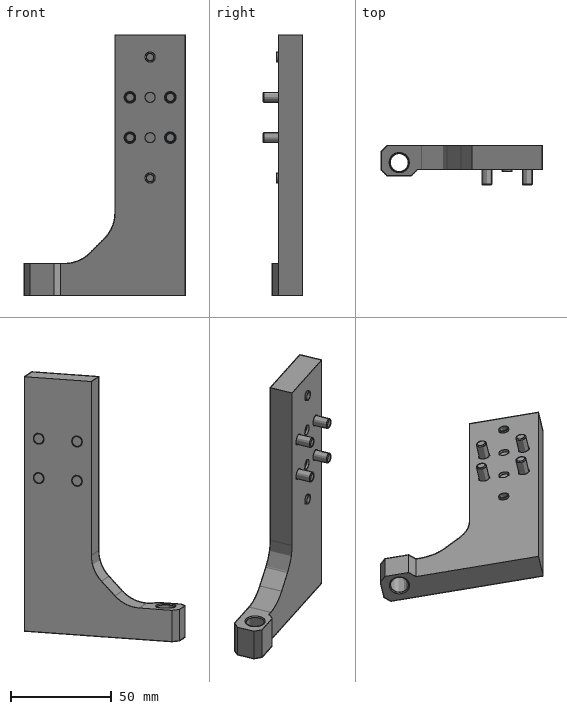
import cadquery as cq

LENGTH = 80.0
HEIGHT = 129.35
PLATE_THICKNESS = 12.0
ARM_WIDTH = 35.0
FOOT_HEIGHT = 16.0
CORNER_BEVEL = 17.55
CORNER_RADIUS = 18.0
SELECTION_MARGIN = 1.0
ARM_LEFT = LENGTH - ARM_WIDTH
ARM_CENTER = LENGTH - ARM_WIDTH / 2

BLOCK_DEPTH = 15.1
BLOCK_LENGTH = 18.0
BLOCK_CHAMFER = 3.0
BLOCK_STEP = BLOCK_DEPTH - PLATE_THICKNESS
BLOCK_FRONT_LENGTH = BLOCK_LENGTH - BLOCK_STEP
BORE_X = 9.0
BORE_FROM_BACK = 8.5
BORE_DIAMETER = 8.92
BORE_MOUTH_DIAMETER = 10.0

PITCH = 20.0
TOP_ROW_FROM_TOP = 11.0
ROW_COUNT = 4
ROW_HEIGHTS = [HEIGHT - TOP_ROW_FROM_TOP - row * PITCH for row in range(ROW_COUNT)]
SLEEVE_POINTS = [(ARM_CENTER, ROW_HEIGHTS[0]), (ARM_CENTER, ROW_HEIGHTS[-1])]
RECESS_POINTS = [(ARM_CENTER, z) for z in ROW_HEIGHTS]
SCREW_POINTS = [(ARM_CENTER + side * PITCH / 2, z) for z in ROW_HEIGHTS[1:-1] for side in (-1, 1)]

SLEEVE_DIAMETER = 5.0
SLEEVE_BORE = 3.6
SLEEVE_PROTRUSION = 0.9
RECESS_DEPTH = 1.35

SCREW_DIAMETER = 5.0
SCREW_HOLE_DIAMETER = 5.5
SCREW_PROTRUSION = 7.6
SCREW_CHAMFER = 0.5


def front_plane(y):
    """Sketch plane at depth y, with X to the right, Z up and the normal toward -Y."""
    return cq.Workplane("XZ", origin=(0, y, 0))


def make_plate():
    """L-shaped plate whose inner corner is bevelled and rounded at both ends of the bevel."""
    plate = (
        front_plane(PLATE_THICKNESS)
        .moveTo(0, 0)
        .lineTo(LENGTH, 0)
        .lineTo(LENGTH, HEIGHT)
        .lineTo(ARM_LEFT, HEIGHT)
        .lineTo(ARM_LEFT, FOOT_HEIGHT + CORNER_BEVEL)
        .lineTo(ARM_LEFT - CORNER_BEVEL, FOOT_HEIGHT)
        .lineTo(0, FOOT_HEIGHT)
        .close()
        .extrude(PLATE_THICKNESS)
    )
    bevel_ends = cq.selectors.BoxSelector(
        (ARM_LEFT - CORNER_BEVEL - SELECTION_MARGIN, 0, FOOT_HEIGHT - SELECTION_MARGIN),
        (ARM_LEFT + SELECTION_MARGIN, PLATE_THICKNESS, FOOT_HEIGHT + CORNER_BEVEL + SELECTION_MARGIN),
    )
    return plate.edges("|Y").edges(bevel_ends).fillet(CORNER_RADIUS)


def make_block():
    """Clamp block, sloping back to the plate on its inner side; its outer corners are cut later."""
    return (
        cq.Workplane("XY")
        .moveTo(0, PLATE_THICKNESS)
        .lineTo(0, -BLOCK_STEP)
        .lineTo(BLOCK_FRONT_LENGTH, -BLOCK_STEP)
        .lineTo(BLOCK_LENGTH, 0)
        .lineTo(BLOCK_LENGTH, PLATE_THICKNESS)
        .close()
        .extrude(FOOT_HEIGHT)
    )


def make_bore():
    """Vertical cutter through the block, flared at both ends to chamfer the mouths."""
    bore_radius = BORE_DIAMETER / 2
    mouth_radius = BORE_MOUTH_DIAMETER / 2
    flare_height = mouth_radius - bore_radius
    return (
        cq.Workplane("XZ", origin=(BORE_X, PLATE_THICKNESS - BORE_FROM_BACK, 0))
        .moveTo(0, 0)
        .lineTo(mouth_radius, 0)
        .lineTo(bore_radius, flare_height)
        .lineTo(bore_radius, FOOT_HEIGHT - flare_height)
        .lineTo(mouth_radius, FOOT_HEIGHT)
        .lineTo(0, FOOT_HEIGHT)
        .close()
        .revolve(360, (0, 0, 0), (0, 1, 0))
    )


def make_round_cutters(points, diameter, depth):
    """Cylinders from the front face of the arm into the plate."""
    return front_plane(depth).pushPoints(points).circle(diameter / 2).extrude(depth)


def make_bracket():
    """Plate and block as one solid, with the bore, sleeve recesses and screw clearance holes."""
    bracket = make_plate().union(make_block())
    bracket = bracket.edges("|Z and <X").chamfer(BLOCK_CHAMFER)
    bracket = bracket.cut(make_bore())
    bracket = bracket.cut(make_round_cutters(RECESS_POINTS, SLEEVE_DIAMETER, RECESS_DEPTH))
    return bracket.cut(make_round_cutters(SCREW_POINTS, SCREW_HOLE_DIAMETER, PLATE_THICKNESS))


def make_sleeve(x, z):
    """Ring revolved about its axis along Y, with a front rim that is a half circle in section."""
    bore_radius = SLEEVE_BORE / 2
    outer_radius = SLEEVE_DIAMETER / 2
    rim_radius = (outer_radius - bore_radius) / 2
    rim_tip = -SLEEVE_PROTRUSION
    rim_start = rim_tip + rim_radius
    return (
        cq.Workplane("XY", origin=(x, 0, z))
        .moveTo(bore_radius, RECESS_DEPTH)
        .lineTo(bore_radius, rim_start)
        .threePointArc((bore_radius + rim_radius, rim_tip), (outer_radius, rim_start))
        .lineTo(outer_radius, RECESS_DEPTH)
        .close()
        .revolve(360, (0, 0, 0), (0, 1, 0))
    )


def make_screw(x, z):
    """Plain shank, flush with the back face of the plate and chamfered at its front tip."""
    return (
        front_plane(PLATE_THICKNESS)
        .center(x, z)
        .circle(SCREW_DIAMETER / 2)
        .extrude(PLATE_THICKNESS + SCREW_PROTRUSION)
        .faces("<Y")
        .chamfer(SCREW_CHAMFER)
    )


bracket = make_bracket()
sleeves = [make_sleeve(x, z).val() for x, z in SLEEVE_POINTS]
screws = [make_screw(x, z).val() for x, z in SCREW_POINTS]
result = cq.Compound.makeCompound([bracket.val(), *sleeves, *screws])